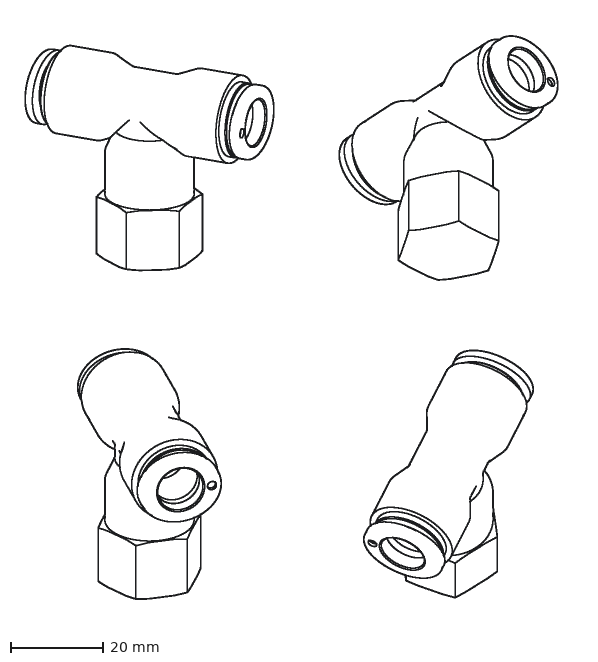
import cadquery as cq


socket_diameter = 19.4
waist_diameter = 15.05
waist_end = 5.65
flare_end = 10.7
run_half_length = 20.7
run_blend_radius = 1.25
branch_blend_radius = 0.85
branch_length = 20.8
tube_bore_diameter = 10.15
through_bore_diameter = 8.0
tube_stop = flare_end

hex_corner_diameter = 23.1
hex_bottom = 34.7
hex_height = hex_bottom - branch_length
hex_bevel_diameter = 20.75
hex_bevel_height = 0.35
hex_turn = 30

collar_diameter = 16.5
collar_end = 22.45
collar_edge_chamfer = 0.25

button_end = 25.7
flange_start = 23.75
flange_width = 18.5
flange_height = 16.1
flange_edge_radius = 0.45
neck_diameter = 11.7
button_bore_diameter = 10.2
button_mouth_chamfer = 0.3
dot_diameter = 2.0
dot_offset = 7.05
dot_depth = 0.75

position_tolerance = 0.005


def cylinder_x(diameter, start, end):
    """Cylinder on the run axis between two X positions."""
    return cq.Workplane("YZ").workplane(offset=start).circle(diameter / 2).extrude(end - start)


def circles_at(workplane, axis, distance):
    """Edges centred at a distance along one axis (0 = X, 2 = Z), on either side of the origin."""
    edges = workplane.edges("%CIRCLE").vals()
    picked = [e for e in edges if abs(abs(e.arcCenter().toTuple()[axis]) - distance) < position_tolerance]
    return workplane.newObject(picked)


def make_run():
    socket_radius = socket_diameter / 2
    waist_radius = waist_diameter / 2
    profile = [
        (-run_half_length, 0),
        (-run_half_length, socket_radius),
        (-flare_end, socket_radius),
        (-waist_end, waist_radius),
        (waist_end, waist_radius),
        (flare_end, socket_radius),
        (run_half_length, socket_radius),
        (run_half_length, 0),
    ]
    run = cq.Workplane("XZ").polyline(profile).close().revolve(360, (0, 0), (1, 0))
    for distance in (waist_end, flare_end):
        run = circles_at(run, 0, distance).fillet(run_blend_radius)
    return run


def make_branch():
    profile = [
        (0, 0),
        (waist_diameter / 2, 0),
        (waist_diameter / 2, -waist_end),
        (socket_diameter / 2, -flare_end),
        (socket_diameter / 2, -branch_length),
        (0, -branch_length),
    ]
    branch = cq.Workplane("XZ").polyline(profile).close().revolve(360, (0, 0), (0, 1))
    return circles_at(branch, 2, flare_end).fillet(branch_blend_radius)


def make_tee():
    tee = make_run().union(make_branch())
    tee = tee.cut(cylinder_x(through_bore_diameter, -run_half_length, run_half_length))
    for start, end in ((-run_half_length, -tube_stop), (tube_stop, run_half_length)):
        tee = tee.cut(cylinder_x(tube_bore_diameter, start, end))
    return tee


def make_hexagon():
    """Hexagon under the branch, corners on Y, both ends bevelled by a shallow cone."""
    prism = (
        cq.Workplane("XY")
        .workplane(offset=-hex_bottom)
        .polygon(6, hex_corner_diameter)
        .extrude(hex_height)
        .rotate((0, 0, 0), (0, 0, 1), hex_turn)
    )
    end_radius = hex_bevel_diameter / 2
    corner_radius = hex_corner_diameter / 2
    envelope_profile = [
        (0, -branch_length),
        (end_radius, -branch_length),
        (corner_radius, -branch_length - hex_bevel_height),
        (corner_radius, -hex_bottom + hex_bevel_height),
        (end_radius, -hex_bottom),
        (0, -hex_bottom),
    ]
    envelope = cq.Workplane("XZ").polyline(envelope_profile).close().revolve(360, (0, 0), (0, 1))
    return prism.intersect(envelope)


def make_collar():
    """Collar on the +X end of the run."""
    collar = cylinder_x(collar_diameter, run_half_length, collar_end)
    collar = collar.faces(">X").edges().chamfer(collar_edge_chamfer)
    return collar.cut(cylinder_x(tube_bore_diameter, run_half_length, collar_end))


def make_button():
    """Release button at the +X end: oval flange on a round neck, with a dot recess."""
    flange = (
        cq.Workplane("YZ")
        .workplane(offset=flange_start)
        .ellipse(flange_width / 2, flange_height / 2)
        .extrude(button_end - flange_start)
        .faces(">X").edges().fillet(flange_edge_radius)
    )
    button = flange.union(cylinder_x(neck_diameter, collar_end, flange_start))
    button = button.cut(cylinder_x(button_bore_diameter, collar_end, button_end))
    button = button.faces(">X").edges("%CIRCLE").chamfer(button_mouth_chamfer)
    dot = cylinder_x(dot_diameter, button_end - dot_depth, button_end)
    return button.cut(dot.translate((0, -dot_offset, 0)))


def at_both_ends(body):
    """The body at the +X end and its mirror copy at the -X end."""
    solid = body.solids().val()
    return [solid, solid.mirror("YZ")]


tee = make_tee().solids()
hexagon = make_hexagon().solids()
collars = at_both_ends(make_collar())
buttons = at_both_ends(make_button())

result = cq.Compound.makeCompound([tee.val(), hexagon.val(), *collars, *buttons])